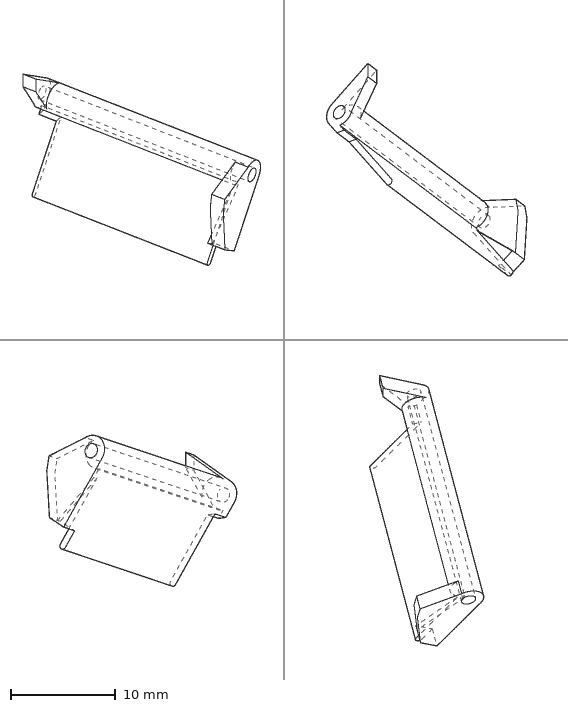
import cadquery as cq
import math

length = 24.0
barrel_radius = 3.0 / 2
bore_radius = 0.7
front_reach = 6.5 - barrel_radius

flap_angle = math.radians(55.4)
flap_thickness = 0.7
flap_bottom_z = -8.78
flap_side_inset = 2.0
step_z = -2.23

arm_width = 1.5
arm_tip_y = -3.34
arm_tip_top_z = 4.3
arm_tip_bottom_z = 2.78
arm_root = (-1.25, -0.75)

paddle_root = (-0.67, 1.35)
paddle_upper_corner = (-4.75, 0.02)
paddle_front_corner = (-front_reach, -1.42)
paddle_lower_corner = (-4.7, -6.02)

down_y, down_z = -math.cos(flap_angle), -math.sin(flap_angle)
out_y, out_z = math.sin(flap_angle), -math.cos(flap_angle)


def flap_point(along, outward):
    """(Y, Z) of a point given by its distances down the flap and out from the hinge axis."""
    return (along * down_y + outward * out_y, along * down_z + outward * out_z)


def prism(points, x_start, x_end):
    """Extrude a (Y, Z) polygon between two X positions."""
    return cq.Workplane("YZ", origin=(x_start, 0, 0)).polyline(points).close().extrude(x_end - x_start)


def along_x_cylinder(radius):
    return cq.Workplane("YZ").circle(radius).extrude(length)


inner_offset = barrel_radius - flap_thickness
middle_offset = barrel_radius - flap_thickness / 2
round_radius = flap_thickness / 2
round_center_z = flap_bottom_z + round_radius
flap_length = (round_center_z - middle_offset * out_z) / down_z
rear_tangent = flap_point(0, barrel_radius)


def make_flap():
    flap = (
        cq.Workplane("YZ")
        .moveTo(*rear_tangent)
        .lineTo(*flap_point(flap_length, barrel_radius))
        .threePointArc(
            flap_point(flap_length + round_radius, middle_offset),
            flap_point(flap_length, inner_offset),
        )
        .lineTo(*flap_point(0, inner_offset))
        .close()
        .extrude(length)
    )
    notch_height = step_z - flap_bottom_z
    for x_start in (0, length - flap_side_inset):
        notch = cq.Workplane("XY").box(
            flap_side_inset, 2 * front_reach, notch_height, centered=(False, True, False)
        )
        flap = flap.cut(notch.translate((x_start, 0, flap_bottom_z)))
    return flap


def make_arm():
    """Pointed arm at the -X end, its upper face tangent to the barrel."""
    tip_angle = math.atan2(arm_tip_top_z, arm_tip_y)
    tip_distance = math.hypot(arm_tip_y, arm_tip_top_z)
    tangent_angle = tip_angle - math.acos(barrel_radius / tip_distance)
    upper_tangent = (barrel_radius * math.cos(tangent_angle), barrel_radius * math.sin(tangent_angle))
    outline = [
        (0, 0),
        upper_tangent,
        (arm_tip_y, arm_tip_top_z),
        (arm_tip_y, arm_tip_bottom_z),
        arm_root,
    ]
    return prism(outline, 0, arm_width)


lower_corner_along = paddle_lower_corner[0] * down_y + paddle_lower_corner[1] * down_z
paddle_foot = flap_point(lower_corner_along, barrel_radius)


def make_paddle():
    outline = [
        (0, 0),
        paddle_root,
        paddle_upper_corner,
        paddle_front_corner,
        paddle_lower_corner,
        paddle_foot,
        rear_tangent,
    ]
    return prism(outline, length - arm_width, length)


def make_web():
    """Wedge joining the flap's side edge to the paddle, starting at the step."""
    inner_along = (step_z - inner_offset * out_z) / down_z
    rear_along = (step_z - barrel_radius * out_z) / down_z
    outline = [
        flap_point(inner_along, inner_offset),
        paddle_lower_corner,
        paddle_foot,
        flap_point(rear_along, barrel_radius),
    ]
    return prism(outline, length - flap_side_inset, length)


body = along_x_cylinder(barrel_radius).union(make_flap())
body = body.union(make_arm()).union(make_paddle()).union(make_web())
result = body.cut(along_x_cylinder(bore_radius))